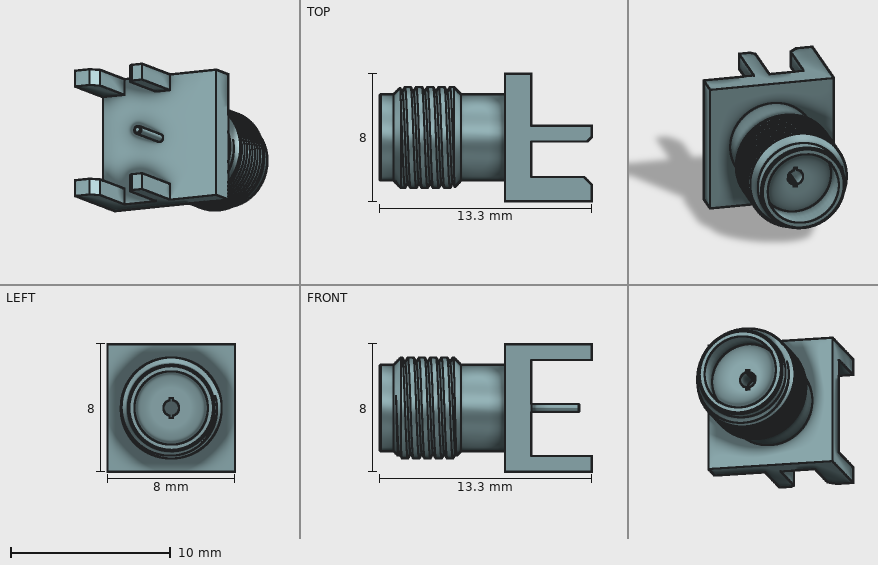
import cadquery as cq
import math


total_length = 13.3
flange_size = 8.0
flange_thickness = 1.66
leg_length = 3.79
leg_height = 1.01
wide_leg_width = 1.53
wide_leg_chamfer = 0.49
narrow_leg_width = 1.0
narrow_leg_chamfer = 0.28

pin_radius = 0.25
pin_length = 3.0
pin_chamfer = 0.07

barrel_radius = 2.71
rim_chamfer = 0.09
socket_radius = 2.3
socket_depth = 1.95
contact_radius = 0.64
contact_bore_radius = 0.49
contact_bore_depth = 2.0
contact_slot_width = 0.21

thread_radius = 3.17
collar_start = 0.89
collar_end = 5.11
thread_pitch = 0.7
groove_depth = 0.3
groove_angle = 60.0
groove_start = 0.89
groove_turns = 6
groove_overcut = 0.07

barrel_length = total_length - flange_thickness - leg_length
mating_end = -barrel_length
flange_half = flange_size / 2


def x_cylinder(radius, start, length):
    """Cylinder on the connector axis, growing toward +X from start."""
    return cq.Workplane("YZ").workplane(offset=start).circle(radius).extrude(length)


def make_thread_groove():
    """Right-hand helical V groove that runs out through both sloped collar ends."""
    root_radius = thread_radius - groove_depth
    outer_radius = thread_radius + groove_overcut
    half_width = (outer_radius - root_radius) * math.tan(math.radians(groove_angle / 2))
    helix = cq.Wire.makeHelix(thread_pitch, groove_turns * thread_pitch, root_radius)
    groove = (
        cq.Workplane("XZ")
        .polyline([(root_radius, 0), (outer_radius, half_width), (outer_radius, -half_width)])
        .close()
        .sweep(cq.Workplane(helix), isFrenet=True)
    )
    return (
        groove.rotate((0, 0, 0), (0, 0, 1), 180)
        .rotate((0, 0, 0), (0, 1, 0), 90)
        .translate((mating_end + groove_start, 0, 0))
    )


def make_barrel():
    """Barrel with a chamfered rim and a threaded collar whose ends slope at 45 degrees."""
    slope = thread_radius - barrel_radius
    outline = [
        (0, 0),
        (0, barrel_radius - rim_chamfer),
        (rim_chamfer, barrel_radius),
        (collar_start, barrel_radius),
        (collar_start + slope, thread_radius),
        (collar_end - slope, thread_radius),
        (collar_end, barrel_radius),
        (barrel_length, barrel_radius),
        (barrel_length, 0),
    ]
    blank = cq.Workplane("XY").polyline(outline).close().revolve(360, (0, 0, 0), (1, 0, 0))
    grooved_stock = x_cylinder(thread_radius, mating_end, barrel_length).cut(make_thread_groove())
    return grooved_stock.intersect(blank.translate((mating_end, 0, 0)))


def make_socket():
    """Open socket, the bore of the centre contact and the slots through the contact wall."""
    floor = mating_end + socket_depth
    socket = x_cylinder(socket_radius, mating_end, socket_depth)
    bore = x_cylinder(contact_bore_radius, floor, contact_bore_depth)
    slots = (
        cq.Workplane("YZ")
        .workplane(offset=floor)
        .rect(contact_slot_width, 2 * contact_radius)
        .extrude(contact_bore_depth)
        .intersect(x_cylinder(contact_radius, floor, contact_bore_depth))
    )
    return socket.union(bore).union(slots)


def make_flange():
    return cq.Workplane("YZ").rect(flange_size, flange_size).extrude(flange_thickness)


def make_leg(low_y, width, chamfered_side, chamfer):
    """Leg at the top edge of the flange, with one tip corner cut at 45 degrees."""
    leg = cq.Workplane("XY").box(leg_length, width, leg_height, centered=False)
    leg = leg.faces(">X").edges(chamfered_side).chamfer(chamfer)
    return leg.translate((flange_thickness, low_y, flange_half - leg_height))


def make_pin():
    return x_cylinder(pin_radius, flange_thickness, pin_length).faces(">X").chamfer(pin_chamfer)


upper_legs = [
    make_leg(-flange_half, wide_leg_width, ">Y", wide_leg_chamfer),
    make_leg(-pin_radius, narrow_leg_width, "<Y", narrow_leg_chamfer),
]

result = make_flange().union(make_barrel()).cut(make_socket()).union(make_pin())
for leg in upper_legs:
    result = result.union(leg).union(leg.mirror("XY"))